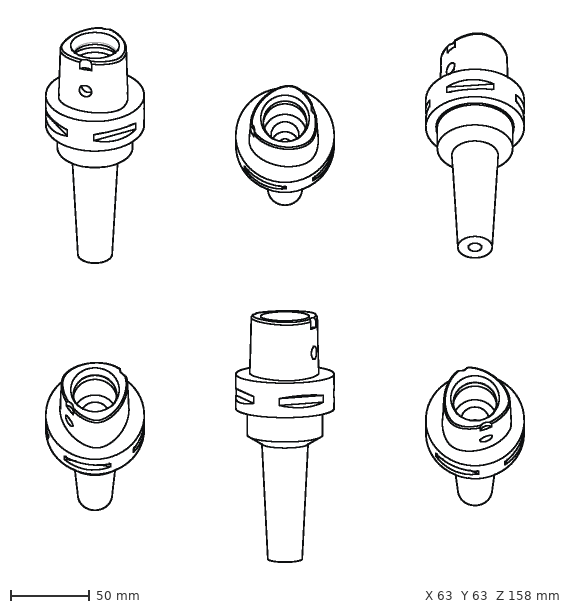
import cadquery as cq
import math

total_height = 158.0
nose_top_z = 75.0
collar_bottom_z = 80.7
flange_bottom_z = 98.0
flange_top_z = 120.4

nose_tip_radius = 11.0
nose_top_radius = 14.9
collar_radius = 24.2
flange_diameter = 63.0
flange_radius = flange_diameter / 2
flange_root_chamfer = 0.8

shank_base_radius = 22.1
shank_taper = 1 / 40
lobe_height = 1.36
outline_points = 36
shank_chamfer_height = 1.6
shank_chamfer_width = 1.0

mouth_radius = 15.5
bore_radius = 13.9
groove_radius = 15.8
mouth_depth = 6.3
groove_top_depth = 8.0
groove_bottom_depth = 11.7
groove_cone_depth = 14.0
bore_floor_z = flange_top_z
counterbore_diameter = 17.9
counterbore_radius = counterbore_diameter / 2
counterbore_floor_z = flange_bottom_z
through_diameter = 8.4
through_radius = through_diameter / 2

notch_radius = 5.4
notch_depth = 1.9
notch_height = 6.3
pocket_radius = 4.1
pocket_center_z = 135.7
pocket_floor_y = -15.2

slot_count = 4
slot_first_angle = 45.0
slot_center_z = 108.0
slot_floor_height = 4.5
slot_rim_height = 7.9
slot_floor_distance = 27.6
slot_length = 47.4


def lobed_outline(z, mean_radius):
    """Closed constant-width curve: the envelope of tangents at mean_radius + lobe_height * cos(3t)."""

    def point(turn):
        t = 2 * math.pi * turn
        reach = mean_radius + lobe_height * math.cos(3 * t)
        slope = -3 * lobe_height * math.sin(3 * t)
        along = reach * math.cos(t) - slope * math.sin(t)
        across = reach * math.sin(t) + slope * math.cos(t)
        return (-across, along, z)

    points = [cq.Vector(*point(i / outline_points)) for i in range(outline_points)]
    return cq.Wire.assembleEdges([cq.Edge.makeSpline(points, periodic=True)])


def lobed_frustum(z_low, radius_low, z_high, radius_high):
    wires = [lobed_outline(z_low, radius_low), lobed_outline(z_high, radius_high)]
    return cq.Workplane(cq.Solid.makeLoft(wires, True))


def revolved(profile):
    """Turn an (r, z) profile about the Z axis."""
    return cq.Workplane("XZ").polyline(profile).close().revolve(360, (0, 0, 0), (0, 1, 0))


def turned_body():
    return revolved([
        (0, 0),
        (nose_tip_radius, 0),
        (nose_top_radius, nose_top_z),
        (collar_radius, collar_bottom_z),
        (collar_radius, flange_bottom_z - flange_root_chamfer),
        (collar_radius + flange_root_chamfer, flange_bottom_z),
        (flange_radius, flange_bottom_z),
        (flange_radius, flange_top_z),
        (0, flange_top_z),
    ])


def shank():
    chamfer_z = total_height - shank_chamfer_height
    chamfer_radius = shank_base_radius - shank_taper * (chamfer_z - flange_top_z)
    end_radius = chamfer_radius - shank_chamfer_width
    taper = lobed_frustum(flange_top_z, shank_base_radius, chamfer_z, chamfer_radius)
    chamfer = lobed_frustum(chamfer_z, chamfer_radius, total_height, end_radius)
    return taper.union(chamfer)


def stepped_bore():
    return revolved([
        (0, 0),
        (through_radius, 0),
        (through_radius, counterbore_floor_z),
        (counterbore_radius, counterbore_floor_z),
        (counterbore_radius, bore_floor_z),
        (bore_radius, bore_floor_z),
        (bore_radius, total_height - groove_cone_depth),
        (groove_radius, total_height - groove_bottom_depth),
        (groove_radius, total_height - groove_top_depth),
        (bore_radius, total_height - groove_top_depth),
        (bore_radius, total_height - mouth_depth),
        (mouth_radius, total_height),
        (0, total_height),
    ])


def drive_notch(side):
    """Upright round notch in the shank end; side is +1 on the +Y lobe and -1 on the opposite flat."""
    wall_reach = shank_base_radius - shank_taper * (total_height - flange_top_z) + side * lobe_height
    center_y = side * (wall_reach - notch_depth + notch_radius)
    return (
        cq.Workplane("XY", origin=(0, center_y, total_height - notch_height))
        .circle(notch_radius)
        .extrude(notch_height)
    )


def round_pocket():
    return (
        cq.Workplane("XZ", origin=(0, pocket_floor_y, pocket_center_z))
        .circle(pocket_radius)
        .extrude(shank_base_radius + pocket_floor_y)
    )


def gripper_slot(angle):
    """Flat-floored slot with flared sides, cut along a chord of the flange."""
    return (
        cq.Workplane("XZ", origin=(0, slot_length / 2, slot_center_z))
        .polyline([
            (slot_floor_distance, -slot_floor_height / 2),
            (flange_radius, -slot_rim_height / 2),
            (flange_radius, slot_rim_height / 2),
            (slot_floor_distance, slot_floor_height / 2),
        ])
        .close()
        .extrude(slot_length)
        .rotate((0, 0, 0), (0, 0, 1), angle)
    )


result = turned_body().union(shank()).cut(stepped_bore()).cut(round_pocket())
for side in (1, -1):
    result = result.cut(drive_notch(side))
for index in range(slot_count):
    result = result.cut(gripper_slot(slot_first_angle + index * 360 / slot_count))